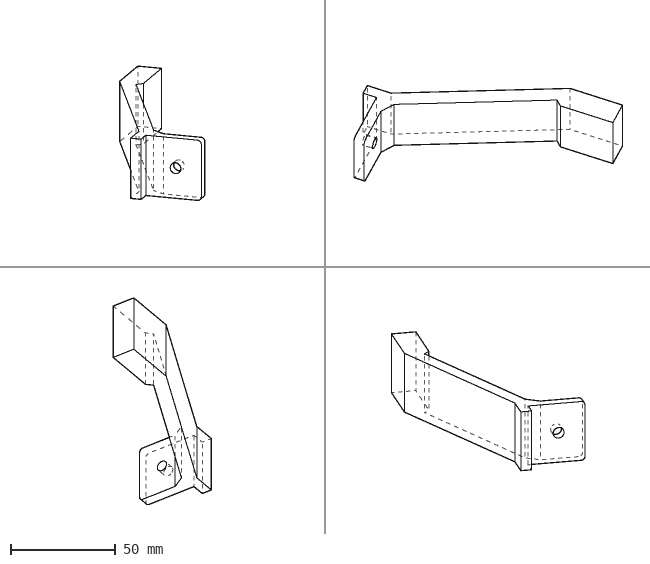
import cadquery as cq
import math

length_x = 69.0
length_y = 117.0
height = 30.0

pad_width = 12.0
pad_length = 27.2
pad_bottom_y = length_y - pad_length

wall = 5.3
tail_length = 7.0
tail_x = 35.8
tab_top_y = tail_length + wall

arm_thickness = 7.2
arm_angle = math.atan2(tail_x, pad_bottom_y - tab_top_y)
arm_slope = math.tan(arm_angle)
arm_width_x = arm_thickness / math.cos(arm_angle)
notch_depth = 2.8
notch_y = pad_bottom_y - notch_depth

gusset_top_y = 16.4
gusset_reach = 12.5
gusset_end_x = tail_x + gusset_reach

hole_diameter = 5.3
hole_end_distance = 13.0
hole_x = length_x - hole_end_distance
corner_radius = 2.0


def arm_inner_x(y):
    """X of the arm's inner (+X) face at a given Y."""
    return (pad_bottom_y - y) * arm_slope + arm_width_x


def make_body():
    """Bracket outline in XY, extruded to the full height."""
    outline = [
        (0, length_y),
        (0, pad_bottom_y),
        (tail_x, tab_top_y),
        (tail_x, 0),
        (tail_x + wall, 0),
        (tail_x + wall, tail_length),
        (length_x, tail_length),
        (length_x, tab_top_y),
        (gusset_end_x, tab_top_y),
        (arm_inner_x(gusset_top_y), gusset_top_y),
        (arm_inner_x(notch_y), notch_y),
        (pad_width, pad_bottom_y),
        (pad_width, length_y),
    ]
    return cq.Workplane("XY").polyline(outline).close().extrude(height)


def round_tab_corners(body):
    """Round the top and bottom corners at the free end of the tab."""
    return body.faces(">X").edges("|Y").fillet(corner_radius)


def make_tab_hole():
    """Cutter for the screw hole through the tab, at mid height."""
    return (
        cq.Workplane("XZ", origin=(hole_x, tab_top_y, height / 2))
        .circle(hole_diameter / 2)
        .extrude(wall)
    )


result = round_tab_corners(make_body()).cut(make_tab_hole())